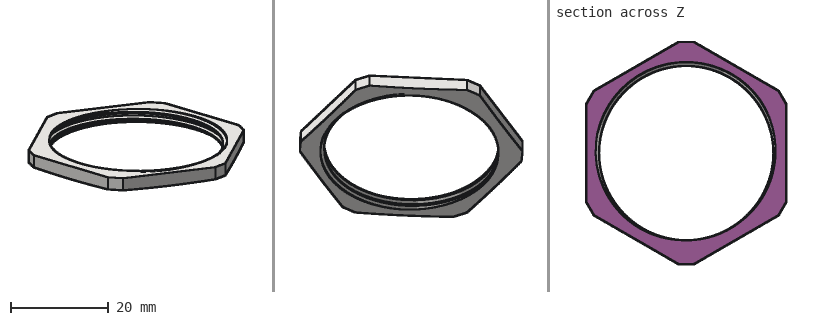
import math

import cadquery as cq

across_flats = 41.0
across_cut_corners = 45.51
thickness = 2.87

relief_start_radius = 20.5
relief_angle = 5.0

minor_radius = 17.82
major_radius = 18.6
pitch = 1.5
crest_width = 0.18
root_width = 0.5
root_height = thickness
root_direction = 90.0
cutter_overlap = 0.02


def hexagonal_prism(width_across_flats):
    """Hexagonal prism with two corners on the X axis and two flats facing +Y and -Y."""
    corner_diameter = width_across_flats / math.cos(math.radians(30))
    return cq.Workplane("XY").polygon(6, corner_diameter).extrude(thickness)


def body():
    """Hexagon with flats facing +X and -X, its six corners cut by a larger turned hexagon."""
    main_hexagon = hexagonal_prism(across_flats).rotate((0, 0, 0), (0, 0, 1), 90)
    return main_hexagon.intersect(hexagonal_prism(across_cut_corners))


def relief_envelope():
    """Round blank with a conical underside that lifts the lower edges of the corners."""
    outer_radius = across_cut_corners
    rise = (outer_radius - relief_start_radius) * math.tan(math.radians(relief_angle))
    return (
        cq.Workplane("XZ")
        .polyline([
            (0, 0),
            (relief_start_radius, 0),
            (outer_radius, rise),
            (outer_radius, thickness),
            (0, thickness),
        ])
        .close()
        .revolve(360, (0, 0, 0), (0, 1, 0))
    )


def thread_groove():
    """Helical trapezoidal cutter that starts below the nut and runs out above it."""
    turns_below = math.ceil(thickness / pitch) + 1
    turns_above = 1
    inner_radius = minor_radius - cutter_overlap
    half_root = root_width / 2
    flank_height = (pitch - crest_width - root_width) / 2
    flank_slope = flank_height / (major_radius - minor_radius)
    half_mouth = half_root + (major_radius - inner_radius) * flank_slope

    helix = cq.Wire.makeHelix(pitch, (turns_below + turns_above) * pitch, minor_radius)
    cutter = (
        cq.Workplane("XZ")
        .polyline([
            (inner_radius, -half_mouth),
            (major_radius, -half_root),
            (major_radius, half_root),
            (inner_radius, half_mouth),
        ])
        .close()
        .sweep(cq.Workplane(helix), isFrenet=True)
    )
    turned = cutter.rotate((0, 0, 0), (0, 0, 1), root_direction)
    return turned.translate((0, 0, root_height - turns_below * pitch))


bore = cq.Workplane("XY").circle(minor_radius).extrude(thickness)
blank = body().intersect(relief_envelope()).cut(bore)
result = blank.cut(thread_groove()).solids()